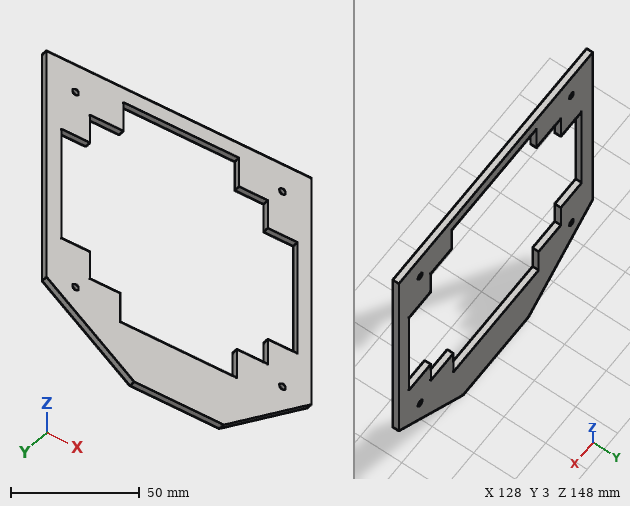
import cadquery as cq

width = 128.0
height = 148.0
thickness = 3.0
top = height / 2
bottom = -height / 2

side_height = 115.9
bottom_width = 43.2

hole_diameter = 3.0
hole_spacing = 99.9
hole_edge_distance = (width - hole_spacing) / 2

window_left = -56.7
window_right = 57.3
step_left = -42.9
step_right = 42.9
upper_notch_left = -26.8
upper_notch_right = 29.0
lower_notch_left = -28.3
lower_notch_right = 28.0

window_top = top - 7.5
upper_step = top - 22.2
side_top = top - 36.4
side_bottom_left = top - 92.2
side_bottom_right = top - 93.2
lower_step = top - 106.0
window_bottom = top - 120.6


def plate_blank():
    """Rectangular plate whose lower end tapers to a narrower bottom edge."""
    shoulder = top - side_height
    outline = [
        (-width / 2, top),
        (width / 2, top),
        (width / 2, shoulder),
        (bottom_width / 2, bottom),
        (-bottom_width / 2, bottom),
        (-width / 2, shoulder),
    ]
    return cq.Workplane("XZ").polyline(outline).close().extrude(thickness / 2, both=True)


def stepped_window():
    """Cutter for the central opening with two steps at each corner."""
    outline = [
        (upper_notch_left, window_top),
        (upper_notch_right, window_top),
        (upper_notch_right, upper_step),
        (step_right, upper_step),
        (step_right, side_top),
        (window_right, side_top),
        (window_right, side_bottom_right),
        (step_right, side_bottom_right),
        (step_right, lower_step),
        (lower_notch_right, lower_step),
        (lower_notch_right, window_bottom),
        (lower_notch_left, window_bottom),
        (lower_notch_left, lower_step),
        (step_left, lower_step),
        (step_left, side_bottom_left),
        (window_left, side_bottom_left),
        (window_left, side_top),
        (step_left, side_top),
        (step_left, upper_step),
        (upper_notch_left, upper_step),
    ]
    return cq.Workplane("XZ").polyline(outline).close().extrude(thickness, both=True)


def mounting_holes():
    """Cutters for the four through holes."""
    pattern_centre = top - hole_edge_distance - hole_spacing / 2
    return (
        cq.Workplane("XZ")
        .center(0, pattern_centre)
        .rarray(hole_spacing, hole_spacing, 2, 2)
        .circle(hole_diameter / 2)
        .extrude(thickness, both=True)
    )


result = plate_blank().cut(stepped_window()).cut(mounting_holes())